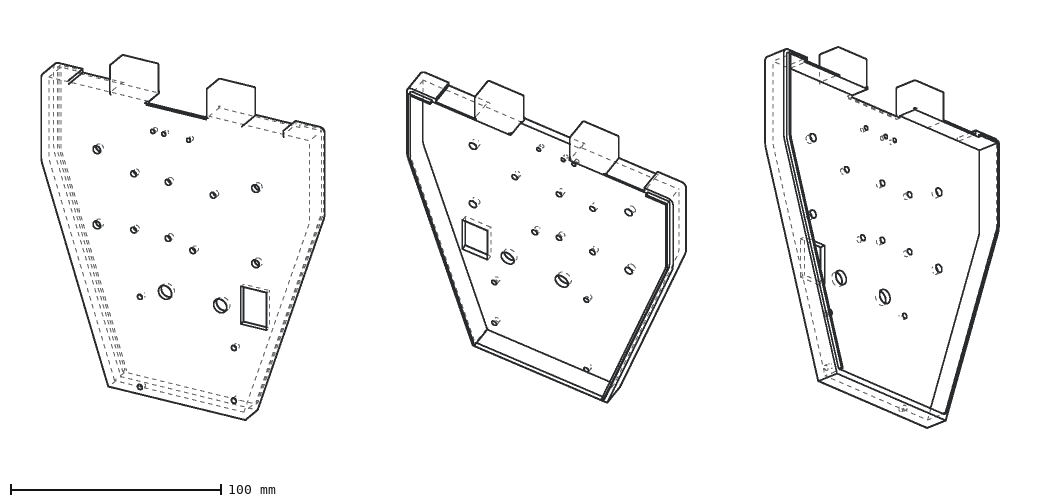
import cadquery as cq
import math

height = 172.0
width = 147.0
overall_depth = 15.0
depth = 13.0
bottom_width = 74.3
bend_z = 112.0
shoulder_z = 159.0
shoulder_radius = 3.0
bend_radius = 12.0
edge_radius = 1.0

wall = 3.0
lip_thickness = 1.0
lip_inset = wall - lip_thickness
lip_height = overall_depth - depth
cavity_top_z = shoulder_z - wall

tab_inner_x = 16.2
tab_width = 20.1
tab_outer_x = tab_inner_x + tab_width
recess_outer_x = 57.6
recess_z = shoulder_z - lip_inset
lip_end_x = recess_outer_x + lip_inset
opening_z = cavity_top_z - edge_radius

window_x, window_z = 42.0, 61.0
window_width, window_height = 14.0, 20.0

mount_x, mount_low_z, mount_high_z = 43.0, 85.0, 125.0
pin_row_z = 142.0
board_left_x, board_right_x = -23.0, -4.5
board_low_z, board_high_z = 87.0, 117.0
lower_left_x, lower_right_x = -19.6, 31.3
cable_hole_z = 58.0
holes = [
    (2.0, [(-12.7, pin_row_z), (-6.7, pin_row_z), (6.7, pin_row_z)]),
    (2.5, [(lower_left_x, 4.3), (lower_left_x, 52.3), (lower_right_x, 9.3), (lower_right_x, 37.3)]),
    (3.0, [(x, z) for x in (board_left_x, board_right_x) for z in (board_low_z, board_high_z)]),
    (3.0, [(9.0, 83.8), (20.0, 116.0)]),
    (4.0, [(x, z) for x in (-mount_x, mount_x) for z in (mount_low_z, mount_high_z)]),
    (7.0, [(-6.0, cable_hole_z), (23.9, cable_hole_z)]),
]


def block(x_min, x_max, y_min, y_max, z_min, z_max):
    """Box given by its limits along each axis."""
    size = (x_max - x_min, y_max - y_min, z_max - z_min)
    return cq.Workplane("XY").box(*size, centered=False).translate((x_min, y_min, z_min))


def shield(inset, y_start, length):
    """Tapered body outline moved inward by inset and extruded toward +Y."""
    taper_angle = math.atan2((width - bottom_width) / 2, bend_z)
    half_top = width / 2 - inset
    inset_bend_z = bend_z + inset * math.tan(taper_angle / 2)
    half_bottom = half_top - (inset_bend_z - inset) * math.tan(taper_angle)
    top_z = shoulder_z - inset
    points = [
        (-half_bottom, inset),
        (half_bottom, inset),
        (half_top, inset_bend_z),
        (half_top, top_z),
        (-half_top, top_z),
        (-half_top, inset_bend_z),
    ]
    plane = cq.Workplane("XZ", origin=(0, y_start, 0))
    solid = plane.polyline(points).close().extrude(-length)
    bend_zone = cq.selectors.BoxSelector(
        (-width, -depth, inset_bend_z - wall), (width, 2 * depth, inset_bend_z + wall)
    )
    solid = solid.edges("|Y").edges(bend_zone).fillet(bend_radius - inset)
    if shoulder_radius > inset:
        solid = solid.faces(">Z").edges("|Y").fillet(shoulder_radius - inset)
    return solid


def outer_body():
    """Solid shield with recessed top, hinge tabs and rounded edges."""
    body = shield(0, 0, depth)
    body = body.cut(block(-recess_outer_x, recess_outer_x, 0, depth, recess_z, height))
    for x_min in (-tab_outer_x, tab_inner_x):
        body = body.union(block(x_min, x_min + tab_width, 0, depth, cavity_top_z, height))
    tab_zone = cq.selectors.BoxSelector(
        (-width, -depth, shoulder_z + edge_radius), (width, 2 * depth, 2 * height)
    )
    front_outline = body.faces("<Y").edges()
    return front_outline.add(body.edges(tab_zone)).fillet(edge_radius)


def lip():
    """Thin rim behind the side walls, left open along the bottom and the middle of the top."""
    ring = shield(lip_inset, depth - wall, wall + lip_height)
    ring = ring.cut(block(-width, width, depth - wall, depth + lip_height, 0, wall))
    return ring.cut(block(-lip_end_x, lip_end_x, depth, depth + lip_height, bend_z, height))


def opening():
    """Gap between the tabs, with its lower front edge rounded, that breaks into the hollow back."""
    gap = block(-tab_inner_x, tab_inner_x, 0, depth, opening_z, height)
    return gap.faces("<Y").edges("<Z").fillet(edge_radius)


def window():
    """Rectangular cutout through the front plate."""
    x_min = window_x - window_width / 2
    z_min = window_z - window_height / 2
    return block(x_min, x_min + window_width, 0, wall, z_min, z_min + window_height)


def drills(diameter, centers):
    """Round cutters of one diameter through the front plate."""
    return cq.Workplane("XZ").pushPoints(centers).circle(diameter / 2).extrude(-wall)


cavity = shield(wall, wall, depth)
body = outer_body().union(lip()).cut(cavity)
body = body.cut(opening()).cut(window())
for diameter, centers in holes:
    body = body.cut(drills(diameter, centers))

result = body